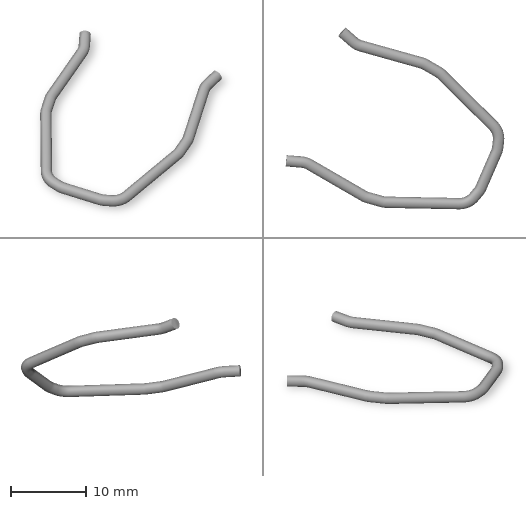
import cadquery as cq

wire_diameter = 1.5
bend_radius = 2.5

outer_width = 21.01
outer_length = 26.15
wire_radius = wire_diameter / 2

base_corner = (2.92, 0.0)
lower_corner = (5.27, 0.70)
shoulder_corner = (9.45, 11.03)
widest_bend_trim = 0.022
widest_corner = (outer_width / 2 - wire_radius + widest_bend_trim, 13.58)
neck_corner = (8.61, 22.70)
end_face_rise = 0.235
tip = (9.43, outer_length - wire_radius - end_face_rise)


def mirrored(point):
    """Return the point's image across the YZ plane."""
    return (-point[0], point[1])


def wire_centreline():
    """Return the clip's centreline, from the -X tip to the +X tip, with rounded bends."""
    right_side = [base_corner, lower_corner, shoulder_corner, widest_corner, neck_corner, tip]
    left_side = [mirrored(point) for point in reversed(right_side)]
    corners = [cq.Vector(x, y, 0) for x, y in left_side + right_side]
    return cq.Wire.makePolygon(corners).fillet(bend_radius)


def wire_clip():
    """Sweep the round wire section along the centreline."""
    start = cq.Vector(*mirrored(tip), 0)
    first_corner = cq.Vector(*mirrored(neck_corner), 0)
    end_plane = cq.Plane(origin=start, xDir=(0, 0, 1), normal=first_corner - start)
    section = cq.Workplane(end_plane).circle(wire_radius)
    return section.sweep(cq.Workplane(wire_centreline()))


result = wire_clip()